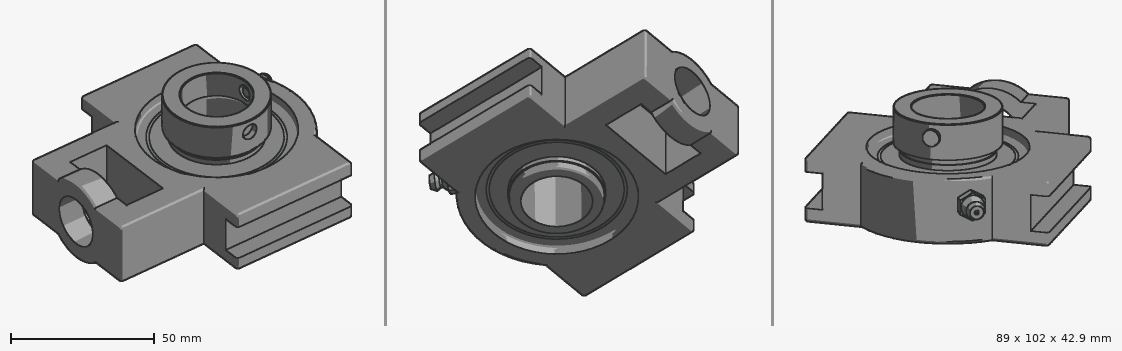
import cadquery as cq
import math


overall_length = 102.0

block_length = 89.0
body_width = 51.0
body_height = 24.0
edge_radius = 1.2
crown_radius = 35.0
guide_width = 13.4
guide_span = 76.0
window_width = 32.0
window_length = 16.0
window_start = 36.1
eye_diameter = 32.0
eye_hole_diameter = 19.0
recess_diameter = 56.9
recess_fillet = 0.9

bearing_width = 17.0
seat_sphere_diameter = 52.0
seal_diameter = 47.0
shaft_diameter = 25.0
inner_ring_diameter = 33.0
land_diameter = 34.1
land_width = 22.2
inner_ring_bottom = -14.3
inner_ring_shoulder = 13.3
inner_ring_top = 17.0
inner_ring_fillet = 1.0
nose_diameter = 30.7

seal_rise = 0.6
seal_thickness = 1.5

collar_diameter = 38.1
collar_bore = 25.4
collar_bottom = 13.7
collar_top = 26.9
collar_chamfer = 0.3
screw_diameter = 6.0
screw_height = 21.9
screw_head_end = 20.5
screw_tip_end = 13.0
screw_tip_chamfer = 1.1
spanner_hole_diameter = 6.0
spanner_hole_depth = 2.5

nipple_angle = 30.0
nipple_height = 3.0
nipple_stem_diameter = 6.0
nipple_stem_length = 5.1
hex_across_flats = 9.0
hex_length = 3.4
shank_base_radius = 4.2
shank_top_radius = 3.1
shank_top = 4.7
neck_radius = 2.3
neck_start = 5.4
neck_end = 6.3
head_radius = 3.4
head_widest = 7.8
tip_radius = 2.4
nipple_length = 9.8
grease_hole_diameter = 1.5
grease_hole_depth = 1.5

half_height = body_height / 2
half_bearing = bearing_width / 2
window_end = window_start + window_length
nipple_tilt = math.radians(nipple_angle)
nipple_reach = (crown_radius + nipple_length) * math.cos(nipple_tilt) + tip_radius * math.sin(nipple_tilt)
arm_end = overall_length - nipple_reach


def disc(diameter, bottom, top):
    """Cylinder on the bearing axis between two heights."""
    return cq.Workplane("XY").workplane(offset=bottom).circle(diameter / 2).extrude(top - bottom)


def rod(diameter, start, end, height=0):
    """Cylinder parallel to Y between two Y positions, on the plane X = 0."""
    return cq.Workplane("XZ", origin=(0, start, height)).circle(diameter / 2).extrude(start - end)


def along_nipple(shape):
    """Move a shape built upward on the origin so that it stands on the crown of the housing."""
    return (
        shape.rotate((0, 0, 0), (1, 0, 0), -90)
        .translate((0, crown_radius, nipple_height))
        .rotate((0, 0, 0), (0, 0, 1), nipple_angle)
    )


def rounded_box(width, length):
    """Box of the housing height with all its edges rounded."""
    return cq.Workplane("XY").box(width, length, body_height).edges().fillet(edge_radius)


def make_housing():
    """T-shaped body with a round crown, guide slots, an adjusting eye and the bearing seat."""
    block = rounded_box(block_length, body_width)
    arm = rounded_box(body_width, arm_end).translate((0, -arm_end / 2, 0))
    crown = disc(2 * crown_radius, -half_height, half_height).edges().fillet(edge_radius)
    eye = rod(eye_diameter, -window_end, -arm_end).faces("<Y").edges().fillet(edge_radius)
    body = block.union(arm).union(crown).union(eye)

    guide_depth = (block_length - guide_span) / 2
    for side in (-1, 1):
        guide = cq.Workplane("XY").box(guide_depth, body_width, guide_width)
        body = body.cut(guide.translate((side * (guide_span + guide_depth) / 2, 0, 0)))

    window = cq.Workplane("XY").box(window_width, window_length, body_height)
    body = body.cut(window.translate((0, -(window_start + window_end) / 2, 0)))
    body = body.cut(rod(eye_hole_diameter, -window_end, -arm_end))

    recess = disc(recess_diameter, half_bearing, half_height).faces("<Z").edges().fillet(recess_fillet)
    body = body.cut(recess).cut(recess.mirror("XY"))
    body = body.cut(cq.Workplane("XY").sphere(seat_sphere_diameter / 2))
    return body.cut(nipple_stem())


def make_outer_ring():
    """Ring with a spherical outside that lets the bearing align itself in the housing."""
    ball = cq.Workplane("XY").sphere(seat_sphere_diameter / 2)
    return ball.intersect(disc(recess_diameter, -half_bearing, half_bearing)).cut(
        disc(seal_diameter, -half_bearing, half_bearing)
    )


def make_inner_ring():
    """Long ring with a raised land in the middle and a thinner nose inside the collar."""
    ring = disc(inner_ring_diameter, inner_ring_bottom, inner_ring_shoulder)
    ring = ring.faces("<Z").edges().fillet(inner_ring_fillet)
    ring = ring.union(disc(land_diameter, -land_width / 2, land_width / 2))
    ring = ring.union(disc(nose_diameter, inner_ring_shoulder, inner_ring_top))
    ring = ring.cut(disc(shaft_diameter, inner_ring_bottom, inner_ring_top))
    bore_rim = ring.faces(">Z").edges(cq.selectors.RadiusNthSelector(0))
    return bore_rim.fillet(inner_ring_fillet)


def make_seal():
    """Slightly conical ring that is higher at the inner ring."""
    outer = seal_diameter / 2
    inner = land_diameter / 2
    profile = [
        (inner, half_bearing - seal_thickness),
        (outer, half_bearing - seal_thickness),
        (outer, half_bearing),
        (inner, half_bearing + seal_rise),
    ]
    return cq.Workplane("XZ").polyline(profile).close().revolve(360, (0, 0), (0, 1))


def make_collar():
    """Locking collar, counterbored for the ring nose, with a screw hole and a blind spanner hole."""
    collar = disc(collar_diameter, collar_bottom, collar_top)
    collar = collar.cut(disc(collar_bore, collar_bottom, collar_top))
    collar = collar.faces(">Z").edges().chamfer(collar_chamfer)
    collar = collar.cut(disc(nose_diameter, collar_bottom, inner_ring_top))
    collar = collar.cut(rod(screw_diameter, collar_diameter / 2, 0, screw_height))
    spanner_hole = (
        cq.Workplane("YZ", origin=(collar_diameter / 2 - spanner_hole_depth, 0, screw_height))
        .circle(spanner_hole_diameter / 2)
        .extrude(spanner_hole_depth)
    )
    return collar.cut(spanner_hole)


def make_set_screw():
    """Screw along Y with a chamfered tip towards the bearing axis."""
    screw = rod(screw_diameter, screw_head_end, screw_tip_end, screw_height)
    return screw.faces("<Y").edges().chamfer(screw_tip_chamfer)


def nipple_stem():
    """Part of the nipple inside the housing, also used to cut its hole."""
    return along_nipple(
        cq.Workplane("XY").circle(nipple_stem_diameter / 2).extrude(-nipple_stem_length)
    )


def make_nipple():
    """Hexagon with a turned shank and head, and a grease hole in the tip."""
    corner_diameter = hex_across_flats / math.cos(math.pi / 6)
    hexagon = (
        cq.Workplane("XY")
        .transformed(rotate=(0, 0, 30))
        .polygon(6, corner_diameter)
        .extrude(hex_length)
    )
    profile = [
        (0, hex_length),
        (shank_base_radius, hex_length),
        (shank_top_radius, shank_top),
        (neck_radius, neck_start),
        (neck_radius, neck_end),
        (head_radius, head_widest),
        (tip_radius, nipple_length),
        (0, nipple_length),
    ]
    head = cq.Workplane("XZ").polyline(profile).close().revolve(360, (0, 0), (0, 1))
    grease_hole = (
        cq.Workplane("XY", origin=(0, 0, nipple_length))
        .circle(grease_hole_diameter / 2)
        .extrude(-grease_hole_depth)
    )
    return along_nipple(hexagon.union(head).cut(grease_hole)).union(nipple_stem())


housing = make_housing()
outer_ring = make_outer_ring()
inner_ring = make_inner_ring()
upper_seal = make_seal()
lower_seal = upper_seal.mirror("XY")
collar = make_collar()
set_screw = make_set_screw()
nipple = make_nipple()

bodies = [housing, outer_ring, inner_ring, upper_seal, lower_seal, collar, set_screw, nipple]
result = cq.Compound.makeCompound([body.solids().val() for body in bodies])